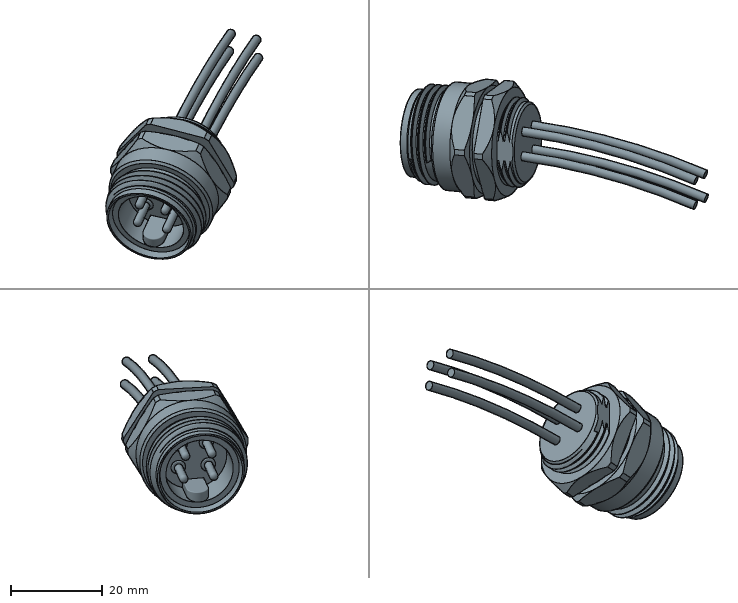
import cadquery as cq
import math

OVERALL_LENGTH = 67.2

FRONT_RIM_END = 1.55
COLLAR_FRONT = 7.9
COLLAR_BACK = 12.5
HEX_BACK = 17.1
SEAL_BACK = 18.7
NUT_BACK = 22.3
BODY_BACK = 26.3

RIM_RADIUS = 9.75
NECK_RADIUS = 10.15
REAR_RADIUS = 9.1
REAR_CHAMFER = 0.5
REAR_FLAT_OFFSET = 8.8

HEX_SIDES = 6
ACROSS_FLATS = 24.0
CORNER_DIAMETER = 27.0
FACE_RADIUS = ACROSS_FLATS / 2
CORNER_RADIUS = CORNER_DIAMETER / 2
LARGE_BEVEL = 1.6
SMALL_BEVEL = 0.7
NUT_TWIST = 2.2
COLLAR_CHAMFER = 0.55

SEAL_EDGE_RADIUS = 10.35
SEAL_RADIUS = 10.75

FRONT_THREAD_RADIUS = 11.1
FRONT_THREAD_RISE = 4.8
FRONT_THREAD_START = 1.75
FRONT_THREAD_TURNS = 3
FRONT_PITCH = FRONT_THREAD_RISE / FRONT_THREAD_TURNS
FRONT_THREAD_ANGLE = 20.0
REAR_THREAD_RADIUS = 9.9
REAR_THREAD_RISE = 4.65
REAR_THREAD_START = 20.75
REAR_THREAD_TURNS = 3.1
REAR_PITCH = REAR_THREAD_RISE / REAR_THREAD_TURNS
REAR_THREAD_ANGLE = 110.0
CREST_WIDTH = 0.15
THREAD_SINK = 0.2
ROOT_GAP = 0.1

COUNTERBORE_RADIUS = 8.9
COUNTERBORE_DEPTH = 1.4
SOCKET_RADIUS = 7.5
SOCKET_FLOOR = 8.4
MOUTH_RADIUS = 9.35

CONTACTS = [(-2.95, 3.5), (2.95, 3.5), (-3.35, -2.0), (3.35, -2.0)]
PIN_RADIUS = 0.95
PIN_TIP = 1.5
PIN_DOME = 0.9
PIN_COLLAR_RADIUS = 1.6
PIN_COLLAR_HEIGHT = 0.4
PIN_COLLAR_ROUND = 0.35

KEY_WIDTH = 4.85
KEY_TOP = -5.2
KEY_NOSE = 1.3
KEY_EDGE_ROUND = 0.2

CABLE_RADIUS = 1.0
CABLE_BEND_START = 18.5
CABLE_BEND_RADIUS = 155.15


def disc(radius, start, end, x=0.0, z=0.0):
    """Cylinder along Y from start to end."""
    return cq.Workplane("XZ", origin=(x, start, z)).circle(radius).extrude(start - end)


def turned(points):
    """Solid of revolution about Y from a closed (radius, Y) outline."""
    return cq.Workplane("XY").polyline(points).close().revolve(360, (0, 0), (0, 1))


def hexagon(start, end, front_bevel, back_bevel):
    """Hexagon with flats up and down, rounded corners and bevelled ends."""
    prism = (
        cq.Workplane("XZ", origin=(0, start, 0))
        .polygon(HEX_SIDES, ACROSS_FLATS / math.cos(math.pi / HEX_SIDES))
        .extrude(start - end)
    )
    envelope = [(0, start), (0, end)]
    if back_bevel:
        envelope.append((FACE_RADIUS, end))
    envelope += [(CORNER_RADIUS, end - back_bevel), (CORNER_RADIUS, start + front_bevel)]
    if front_bevel:
        envelope.append((FACE_RADIUS, start))
    return prism.intersect(turned(envelope))


def thread_ridge(root_radius, crest_radius, pitch, start, turns, start_angle):
    """Right-handed helical ridge about Y whose base sinks slightly into the core."""
    base_radius = root_radius - THREAD_SINK
    height = crest_radius - base_radius
    half_base = (pitch - ROOT_GAP) / 2
    helix = cq.Wire.makeHelix(pitch, pitch * turns, base_radius)
    ridge = (
        cq.Workplane("XZ", origin=(base_radius, 0, 0))
        .polyline(
            [
                (0, -half_base),
                (height, -CREST_WIDTH / 2),
                (height, CREST_WIDTH / 2),
                (0, half_base),
            ]
        )
        .close()
        .sweep(cq.Workplane(helix), isFrenet=True)
    )
    ridge = ridge.rotate((0, 0, 0), (1, 0, 0), -90)
    ridge = ridge.rotate((0, 0, 0), (0, 1, 0), start_angle)
    return ridge.translate((0, start, 0))


def front_body():
    """Neck, thread and rim in front of the collar."""
    core = turned(
        [
            (0, 0),
            (RIM_RADIUS, 0),
            (RIM_RADIUS, FRONT_RIM_END),
            (NECK_RADIUS, FRONT_RIM_END + NECK_RADIUS - RIM_RADIUS),
            (NECK_RADIUS, COLLAR_FRONT),
            (0, COLLAR_FRONT),
        ]
    )
    lead_in = turned(
        [
            (0, FRONT_RIM_END),
            (RIM_RADIUS, FRONT_RIM_END),
            (FACE_RADIUS, FRONT_RIM_END + FACE_RADIUS - RIM_RADIUS),
            (FACE_RADIUS, COLLAR_FRONT),
            (0, COLLAR_FRONT),
        ]
    )
    ridge = thread_ridge(
        NECK_RADIUS,
        FRONT_THREAD_RADIUS,
        FRONT_PITCH,
        FRONT_THREAD_START,
        FRONT_THREAD_TURNS,
        FRONT_THREAD_ANGLE,
    )
    return core.union(ridge.intersect(lead_in))


def rear_body():
    """Threaded tail with two side flats, running inside the nut and seal."""
    core = disc(REAR_RADIUS, HEX_BACK, BODY_BACK)
    ridge = thread_ridge(
        REAR_RADIUS,
        REAR_THREAD_RADIUS,
        REAR_PITCH,
        REAR_THREAD_START,
        REAR_THREAD_TURNS,
        REAR_THREAD_ANGLE,
    )
    end_radius = REAR_RADIUS - REAR_CHAMFER
    lead_in = turned(
        [
            (0, HEX_BACK),
            (FACE_RADIUS, HEX_BACK),
            (FACE_RADIUS, BODY_BACK - FACE_RADIUS + end_radius),
            (end_radius, BODY_BACK),
            (0, BODY_BACK),
        ]
    )
    flats = cq.Workplane("XY", origin=(0, HEX_BACK, 0)).box(
        2 * REAR_FLAT_OFFSET, BODY_BACK - HEX_BACK, CORNER_DIAMETER, centered=(True, False, True)
    )
    return core.union(ridge).intersect(lead_in).intersect(flats)


def collar():
    """Plain round band in front of the fixed hexagon."""
    return disc(FACE_RADIUS, COLLAR_FRONT, COLLAR_BACK).faces("<Y").chamfer(COLLAR_CHAMFER)


def seal():
    """Ring with a bulged outer face."""
    outline = (
        cq.Workplane("XY")
        .moveTo(0, HEX_BACK)
        .lineTo(SEAL_EDGE_RADIUS, HEX_BACK)
        .threePointArc((SEAL_RADIUS, (HEX_BACK + SEAL_BACK) / 2), (SEAL_EDGE_RADIUS, SEAL_BACK))
        .lineTo(0, SEAL_BACK)
        .close()
    )
    return outline.revolve(360, (0, 0), (0, 1))


def nut():
    """Loose nut, turned slightly from the fixed hexagon."""
    return hexagon(SEAL_BACK, NUT_BACK, 0, LARGE_BEVEL).rotate((0, 0, 0), (0, 1, 0), NUT_TWIST)


def socket():
    """Stepped recess in the mating face with a tapered mouth."""
    return turned(
        [
            (0, 0),
            (MOUTH_RADIUS, 0),
            (COUNTERBORE_RADIUS, COUNTERBORE_DEPTH),
            (SOCKET_RADIUS, COUNTERBORE_DEPTH),
            (SOCKET_RADIUS, SOCKET_FLOOR),
            (0, SOCKET_FLOOR),
        ]
    )


def key():
    """Round-nosed key standing on the lower socket wall."""
    half_width = KEY_WIDTH / 2
    block = (
        cq.Workplane("XY", origin=(0, 0, KEY_TOP))
        .moveTo(-half_width, SOCKET_FLOOR)
        .lineTo(-half_width, KEY_NOSE + half_width)
        .threePointArc((0, KEY_NOSE), (half_width, KEY_NOSE + half_width))
        .lineTo(half_width, SOCKET_FLOOR)
        .close()
        .extrude(-SOCKET_RADIUS)
        .faces(">Z")
        .edges("not >Y")
        .fillet(KEY_EDGE_ROUND)
    )
    return block.intersect(disc(SOCKET_RADIUS, 0, SOCKET_FLOOR))


def pin(x, z):
    """Dome-ended contact with a rounded collar at the socket floor."""
    shank = disc(PIN_RADIUS, PIN_TIP, SOCKET_FLOOR, x, z).faces("<Y").fillet(PIN_DOME)
    base = disc(PIN_COLLAR_RADIUS, SOCKET_FLOOR - PIN_COLLAR_HEIGHT, SOCKET_FLOOR, x, z)
    return shank.union(base.faces("<Y").fillet(PIN_COLLAR_ROUND))


def cable(x, z):
    """Cable leaving the tail and drooping along an arc."""
    reach = OVERALL_LENGTH - CABLE_BEND_START
    end_angle = math.degrees(math.asin(reach / (CABLE_BEND_RADIUS + CABLE_RADIUS)))
    return (
        cq.Workplane("XZ", origin=(x, CABLE_BEND_START, z))
        .circle(CABLE_RADIUS)
        .revolve(end_angle, (0.7, -CABLE_BEND_RADIUS), (-0.7, -CABLE_BEND_RADIUS))
    )


result = front_body().union(collar())
result = result.union(hexagon(COLLAR_BACK, HEX_BACK, LARGE_BEVEL, SMALL_BEVEL))
result = result.union(rear_body()).union(seal()).union(nut())
result = result.cut(socket()).union(key())
for contact_x, contact_z in CONTACTS:
    result = result.union(pin(contact_x, contact_z))
    result = result.union(cable(contact_x, contact_z))